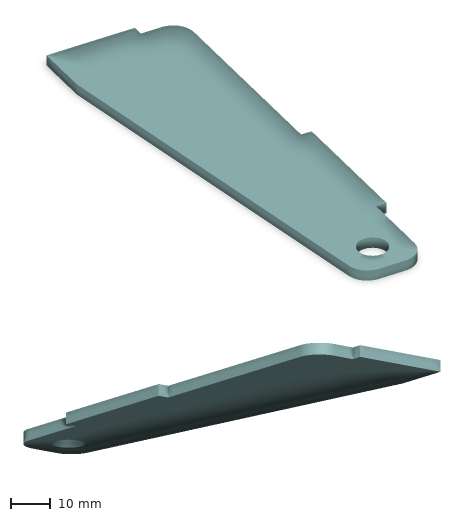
import cadquery as cq
import math

length = 126.9
width = 40.6
thickness = 3.0

body_left = thickness
body_top = width - thickness
left_tab_height = 25.6
top_tab_start = 63.4
top_tab_length = 38.0

taper_start = 15.5
taper_angle = 9.6
taper_end_height = (length - taper_start) * math.tan(math.radians(taper_angle))
taper_blend_radius = 6.0

corner_radius = 6.0

hole_diameter = 8.4
hole_x = 117.2
hole_y = 27.5


def make_blank():
    """Extrude the stepped, tapered outline with sharp corners."""
    top_tab_end = top_tab_start + top_tab_length
    outline = [
        (0, 0),
        (taper_start, 0),
        (length, taper_end_height),
        (length, body_top),
        (top_tab_end, body_top),
        (top_tab_end, width),
        (top_tab_start, width),
        (top_tab_start, body_top),
        (body_left, body_top),
        (body_left, left_tab_height),
        (0, left_tab_height),
    ]
    return cq.Workplane("XY").polyline(outline).close().extrude(thickness)


def round_corner(plate, x, y, radius):
    """Round the vertical edge that stands at (x, y)."""
    corner = cq.selectors.NearestToPointSelector((x, y, thickness / 2))
    return plate.edges("|Z").edges(corner).fillet(radius)


plate = make_blank()
for x, y, radius in [
    (body_left, body_top, corner_radius),
    (length, body_top, corner_radius),
    (length, taper_end_height, corner_radius),
    (taper_start, 0, taper_blend_radius),
]:
    plate = round_corner(plate, x, y, radius)

hole = cq.Workplane("XY").center(hole_x, hole_y).circle(hole_diameter / 2).extrude(thickness)
result = plate.cut(hole)